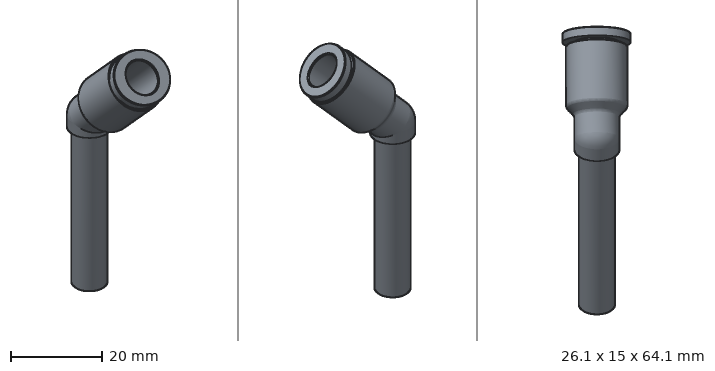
import cadquery as cq
import math

stem_diameter = 8.0
stem_length = 40.0
stem_end_chamfer = 0.3

elbow_diameter = 10.0
collar_height = 3.0
branch_tilt = 45.0

socket_diameter = 13.6
shoulder_start = 5.0
shoulder_end = 6.9
socket_end = 20.7
shoulder_blend = 0.95
selection_margin = 0.05
socket_rim_chamfer = 0.25

neck_diameter = 9.6
cap_start = 21.55
cap_end = 23.6
cap_width = 15.0
cap_height = 12.8
cap_rim_chamfer = 0.2

bore_diameter = 8.0
bore_rim_chamfer = 0.25

elbow_radius = elbow_diameter / 2
socket_radius = socket_diameter / 2
elbow_height = stem_length + collar_height
tilt = math.radians(branch_tilt)
elbow_centre = (0, 0, elbow_height)
branch_direction = (math.sin(tilt), 0, math.cos(tilt))


def branch_section(distance):
    """Workplane across the branch axis; its local x runs along the part's Y."""
    origin = tuple(c + distance * d for c, d in zip(elbow_centre, branch_direction))
    return cq.Workplane(cq.Plane(origin=origin, xDir=(0, 1, 0), normal=branch_direction))


def make_stem():
    stem = cq.Workplane("XY").circle(stem_diameter / 2).extrude(stem_length)
    return stem.faces("<Z").chamfer(stem_end_chamfer)


def make_elbow():
    collar = cq.Workplane("XY").workplane(offset=stem_length).circle(elbow_radius).extrude(collar_height)
    ball = cq.Workplane("XY").sphere(elbow_radius).translate(elbow_centre)
    return collar.union(ball)


def circles_near(distance):
    """Selector for the circular edges centred at this distance along the Y axis."""
    low = (-socket_diameter, distance - selection_margin, -socket_diameter)
    high = (socket_diameter, distance + selection_margin, socket_diameter)
    return cq.selectors.TypeSelector("CIRCLE") & cq.selectors.BoxSelector(low, high)


def make_branch():
    """Branch tube flaring through a blended cone into the socket, turned about the branch axis."""
    profile = (
        cq.Workplane("XY")
        .moveTo(0, 0)
        .lineTo(elbow_radius, 0)
        .lineTo(elbow_radius, shoulder_start)
        .lineTo(socket_radius, shoulder_end)
        .lineTo(socket_radius, socket_end - socket_rim_chamfer)
        .lineTo(socket_radius - socket_rim_chamfer, socket_end)
        .lineTo(0, socket_end)
        .close()
    )
    branch = profile.revolve(360, (0, 0, 0), (0, 1, 0))
    for distance in (shoulder_start, shoulder_end):
        branch = branch.edges(circles_near(distance)).fillet(shoulder_blend)
    upright = branch.rotate((0, 0, 0), (1, 0, 0), 90)
    return upright.rotate((0, 0, 0), (0, 1, 0), branch_tilt).translate(elbow_centre)


def make_release_ring():
    neck = branch_section(socket_end).circle(neck_diameter / 2).extrude(cap_start - socket_end)
    cap = branch_section(cap_start).ellipse(cap_width / 2, cap_height / 2).extrude(cap_end - cap_start)
    outer_face = cq.selectors.DirectionMinMaxSelector(cq.Vector(*branch_direction))
    cap = cap.faces(outer_face).chamfer(cap_rim_chamfer)
    return neck.union(cap)


def make_bore():
    bore = branch_section(shoulder_end).circle(bore_diameter / 2).extrude(cap_end - shoulder_end)
    countersink = (
        branch_section(cap_end - bore_rim_chamfer)
        .circle(bore_diameter / 2)
        .workplane(offset=bore_rim_chamfer)
        .circle(bore_diameter / 2 + bore_rim_chamfer)
        .loft()
    )
    return bore.union(countersink)


body = make_stem().union(make_elbow()).union(make_branch()).union(make_release_ring())
result = body.cut(make_bore())